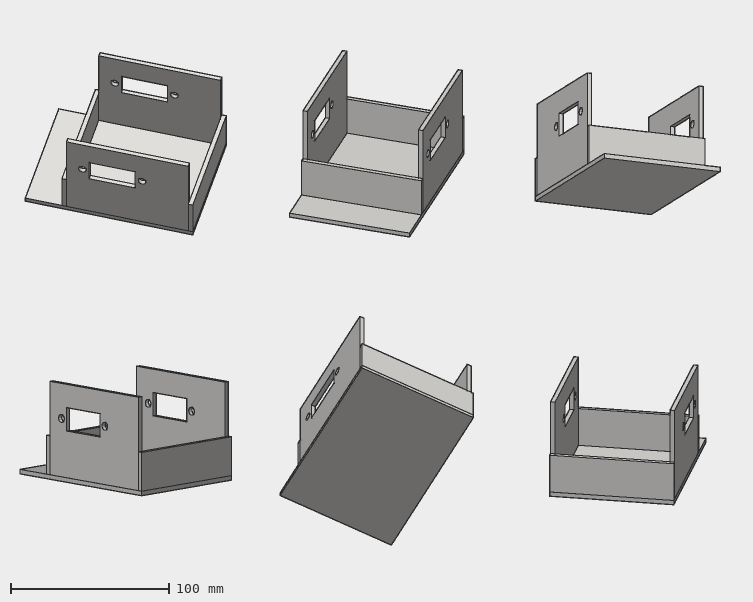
import cadquery as cq

base_length = 110.0
depth = 80.0
total_height = 63.0
thickness = 3.0

panel_length = 80.0
panel_height = total_height - thickness
wall_height = 25.0

window_width = 30.2
window_height = 15.0
window_from_panel_edge = 30.0
window_above_base = 37.5
screw_hole_diameter = 5.0
screw_hole_spacing = 39.2

right_wall_x = base_length - thickness
panel_x = right_wall_x - panel_length
left_wall_x = panel_x - thickness


def make_plate(length, width, height, corner):
    """Rectangular plate placed by its lowest X, Y, Z corner."""
    return cq.Workplane("XY").box(length, width, height, centered=False).translate(corner)


def make_base():
    return make_plate(base_length, depth, thickness, (0, 0, 0))


def make_end_wall(x):
    """Low wall across the full depth of the base."""
    return make_plate(thickness, depth, wall_height, (x, 0, thickness))


def make_side_panel(y):
    """Tall panel between the end walls, with a window and two screw holes."""
    panel = make_plate(panel_length, thickness, panel_height, (panel_x, y, thickness))
    window_centre = (panel_x + window_from_panel_edge, y, thickness + window_above_base)
    opening_plane = cq.Workplane("XZ", origin=window_centre)
    window = opening_plane.rect(window_width, window_height).extrude(-thickness)
    screw_holes = (
        opening_plane
        .pushPoints([(-screw_hole_spacing / 2, 0), (screw_hole_spacing / 2, 0)])
        .circle(screw_hole_diameter / 2)
        .extrude(-thickness)
    )
    return panel.cut(window).cut(screw_holes)


base = make_base()
end_walls = [make_end_wall(x) for x in (left_wall_x, right_wall_x)]
side_panels = [make_side_panel(y) for y in (0, depth - thickness)]

result = cq.Compound.makeCompound([
    base.val(),
    *[wall.val() for wall in end_walls],
    *[panel.val() for panel in side_panels],
])